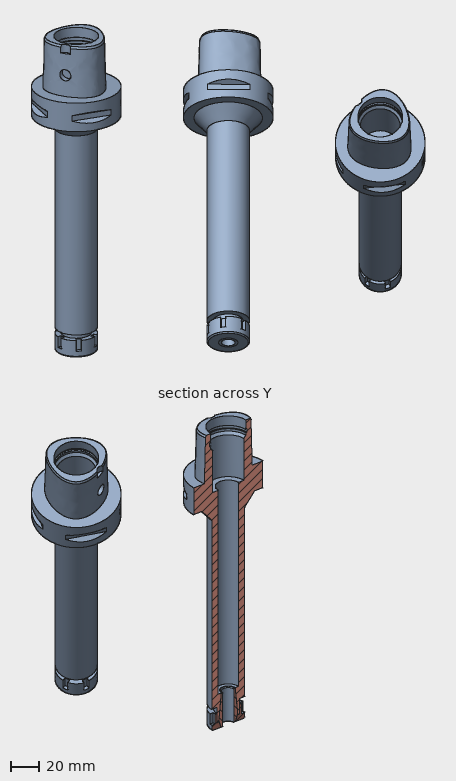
import cadquery as cq
import math

total_height = 238.0
flange_top = 200.0
flange_bottom = 178.3
shaft_top = 168.3
shaft_bottom = 17.1
nut_height = 12.9
nut_seat_height = 4.8
collet_length = 27.5

flange_diameter = 63.0
flange_cone_diameter = 48.0
shaft_diameter = 30.0
neck_diameter = 21.2

shank_radius = 22.1
lobe_height = 1.5
taper_slope = 1 / 40
shank_chamfer_height = 1.7
shank_chamfer_width = 0.7
outline_points = 36

key_slot_radius = 4.5
key_slot_depth = 6.0
key_slot_floor = 17.5
cross_hole_diameter = 8.3
cross_hole_height = 215.9
cross_hole_floor = 15.5

groove_count = 4
groove_height = 188.3
groove_floor_radius = 27.8
groove_floor_width = 4.0
groove_mouth_width = 8.3

mouth_diameter = 31.5
ring_groove_diameter = 33.8
ring_groove_start = 7.5
ring_groove_end = 10.2
cone_start = 12.1
cone_end = 14.3
lower_bore_diameter = 28.0
lower_bore_depth = 47.5
shaft_bore_diameter = 18.0

collet_back_diameter = 12.1
collet_max_diameter = 17.0
collet_nose_diameter = 13.5
collet_bore_diameter = 9.8
collet_bore_chamfer = 0.7

nut_diameter = shaft_diameter
nut_chamfer = 1.0
nut_slot_count = 6
nut_slot_width = 3.8
nut_slot_depth = 2.9
nut_slot_bottom = 4.8


def revolve_profile(points):
    """Revolve a closed (radius, height) outline about the Z axis."""
    return cq.Workplane("XZ").polyline(points).close().revolve(360, (0, 0, 0), (0, 1, 0))


def lobed_outline(mean_radius, height):
    """Closed three-lobed trochoid at the given height; the lobe term turns twice backwards per lap."""
    points = []
    for i in range(outline_points):
        angle = math.pi / 2 + 2 * math.pi * i / outline_points
        lobe_angle = -2 * angle - math.pi / 2
        x = mean_radius * math.cos(angle) + lobe_height * math.cos(lobe_angle)
        y = mean_radius * math.sin(angle) + lobe_height * math.sin(lobe_angle)
        points.append(cq.Vector(x, y, height))
    return cq.Wire.assembleEdges([cq.Edge.makeSpline(points, periodic=True)])


def make_shank():
    chamfer_base = total_height - shank_chamfer_height
    upper_radius = shank_radius - taper_slope * (chamfer_base - flange_top)
    base = lobed_outline(shank_radius, flange_top)
    upper = lobed_outline(upper_radius, chamfer_base)
    tip = lobed_outline(upper_radius - shank_chamfer_width, total_height)
    taper = cq.Solid.makeLoft([base, upper], True)
    chamfer = cq.Solid.makeLoft([upper, tip], True)
    return cq.Workplane(taper).union(cq.Workplane(chamfer))


def make_holder_body():
    """Flange, cone, shaft and neck as one turned shape."""
    return revolve_profile([
        (0, flange_top),
        (flange_diameter / 2, flange_top),
        (flange_diameter / 2, flange_bottom),
        (flange_cone_diameter / 2, flange_bottom),
        (shaft_diameter / 2, shaft_top),
        (shaft_diameter / 2, shaft_bottom),
        (neck_diameter / 2, shaft_bottom),
        (neck_diameter / 2, nut_seat_height),
        (0, nut_seat_height),
    ])


def make_holder_bore():
    """Stepped bore from the shank mouth down to the collet socket."""
    return revolve_profile([
        (0, total_height),
        (mouth_diameter / 2, total_height),
        (mouth_diameter / 2, total_height - ring_groove_start),
        (ring_groove_diameter / 2, total_height - ring_groove_start),
        (ring_groove_diameter / 2, total_height - ring_groove_end),
        (mouth_diameter / 2, total_height - ring_groove_end),
        (mouth_diameter / 2, total_height - cone_start),
        (lower_bore_diameter / 2, total_height - cone_end),
        (lower_bore_diameter / 2, total_height - lower_bore_depth),
        (shaft_bore_diameter / 2, total_height - lower_bore_depth),
        (shaft_bore_diameter / 2, collet_length),
        (0, collet_length),
    ])


def make_key_slot():
    """Concave notch running down from the top face."""
    return (
        cq.Workplane("XY")
        .workplane(offset=total_height - key_slot_depth)
        .center(0, -(key_slot_floor + key_slot_radius))
        .circle(key_slot_radius)
        .extrude(key_slot_depth)
    )


def make_cross_hole():
    """Blind radial hole from the -Y side."""
    return (
        cq.Workplane("XZ")
        .workplane(offset=cross_hole_floor)
        .center(0, cross_hole_height)
        .circle(cross_hole_diameter / 2)
        .extrude(shank_radius - cross_hole_floor)
    )


def make_gripper_groove(angle):
    """Straight groove with sloping flanks, cut across the flange rim."""
    rim_radius = flange_diameter / 2
    return (
        cq.Workplane("XZ")
        .polyline([
            (groove_floor_radius, groove_height - groove_floor_width / 2),
            (rim_radius, groove_height - groove_mouth_width / 2),
            (rim_radius, groove_height + groove_mouth_width / 2),
            (groove_floor_radius, groove_height + groove_floor_width / 2),
        ])
        .close()
        .extrude(rim_radius, both=True)
        .rotate((0, 0, 0), (0, 0, 1), angle)
    )


def make_collet_envelope():
    """Double taper of the collet without its bore."""
    return revolve_profile([
        (0, 0),
        (collet_nose_diameter / 2, 0),
        (collet_max_diameter / 2, nut_seat_height),
        (collet_back_diameter / 2, collet_length),
        (0, collet_length),
    ])


def make_holder():
    holder = make_holder_body().union(make_shank())
    holder = holder.cut(make_holder_bore()).cut(make_collet_envelope())
    holder = holder.cut(make_key_slot()).cut(make_cross_hole())
    pitch = 360 / groove_count
    for i in range(groove_count):
        holder = holder.cut(make_gripper_groove(pitch * (i + 0.5)))
    return holder


def make_collet():
    collet = make_collet_envelope().faces(">Z").workplane().hole(collet_bore_diameter)
    bore_radius = collet_bore_diameter / 2
    mouth_chamfer = cq.Solid.makeCone(
        bore_radius,
        bore_radius + collet_bore_chamfer,
        collet_bore_chamfer,
        pnt=cq.Vector(0, 0, collet_length - collet_bore_chamfer),
    )
    return collet.cut(cq.Workplane(mouth_chamfer))


def make_nut():
    nut = cq.Workplane("XY").circle(nut_diameter / 2).extrude(nut_height)
    nut = nut.faces("<Z").chamfer(nut_chamfer)
    neck_recess = (
        cq.Workplane("XY")
        .workplane(offset=nut_seat_height)
        .circle(neck_diameter / 2)
        .extrude(nut_height - nut_seat_height)
    )
    nut = nut.cut(neck_recess).cut(make_collet_envelope())
    slot = (
        cq.Workplane("XY")
        .workplane(offset=nut_slot_bottom)
        .center(nut_diameter / 2, 0)
        .rect(2 * nut_slot_depth, nut_slot_width)
        .extrude(nut_height - nut_slot_bottom)
    )
    for i in range(nut_slot_count):
        nut = nut.cut(slot.rotate((0, 0, 0), (0, 0, 1), 360 / nut_slot_count * i))
    return nut


holder = make_holder()
collet = make_collet()
nut = make_nut()

result = cq.Compound.makeCompound([holder.val(), collet.val(), nut.val()])